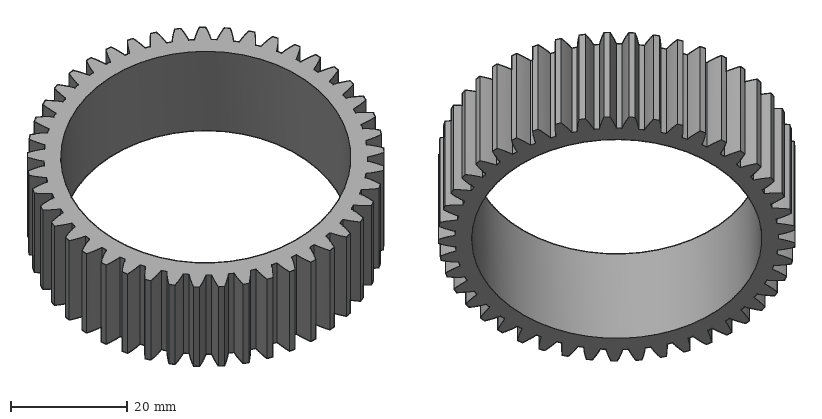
import cadquery as cq
import math

TOOTH_COUNT = 45
TIP_DIAMETER = 61.5
BORE_DIAMETER = 50.0
FACE_WIDTH = 20.0
DEDENDUM_FACTOR = 1.2

module = TIP_DIAMETER / (TOOTH_COUNT + 2)
tip_radius = TIP_DIAMETER / 2
pitch_radius = module * TOOTH_COUNT / 2
root_radius = pitch_radius - DEDENDUM_FACTOR * module

tooth_pitch_angle = 2 * math.pi / TOOTH_COUNT
tip_half_angle = tooth_pitch_angle / 8
pitch_half_angle = tooth_pitch_angle / 4
root_half_angle = tooth_pitch_angle * 3 / 8
first_tooth_angle = math.pi / 2


def polar(radius, angle):
    return (radius * math.cos(angle), radius * math.sin(angle))


def add_tooth(outline, centre_angle):
    """Append one tooth and the root land after it, running counterclockwise."""
    next_centre_angle = centre_angle + tooth_pitch_angle
    gap_angle = centre_angle + tooth_pitch_angle / 2

    rising_pitch_point = polar(pitch_radius, centre_angle - pitch_half_angle)
    tip_start = polar(tip_radius, centre_angle - tip_half_angle)
    tip_middle = polar(tip_radius, centre_angle)
    tip_end = polar(tip_radius, centre_angle + tip_half_angle)
    falling_pitch_point = polar(pitch_radius, centre_angle + pitch_half_angle)
    root_start = polar(root_radius, centre_angle + root_half_angle)
    root_middle = polar(root_radius, gap_angle)
    root_end = polar(root_radius, next_centre_angle - root_half_angle)

    outline = outline.threePointArc(rising_pitch_point, tip_start)
    outline = outline.threePointArc(tip_middle, tip_end)
    outline = outline.threePointArc(falling_pitch_point, root_start)
    return outline.threePointArc(root_middle, root_end)


def toothed_disc():
    outline = cq.Workplane("XY").moveTo(*polar(root_radius, first_tooth_angle - root_half_angle))
    for tooth in range(TOOTH_COUNT):
        outline = add_tooth(outline, first_tooth_angle + tooth * tooth_pitch_angle)
    return outline.close().extrude(FACE_WIDTH)


bore = cq.Workplane("XY").circle(BORE_DIAMETER / 2).extrude(FACE_WIDTH)
result = toothed_disc().cut(bore)